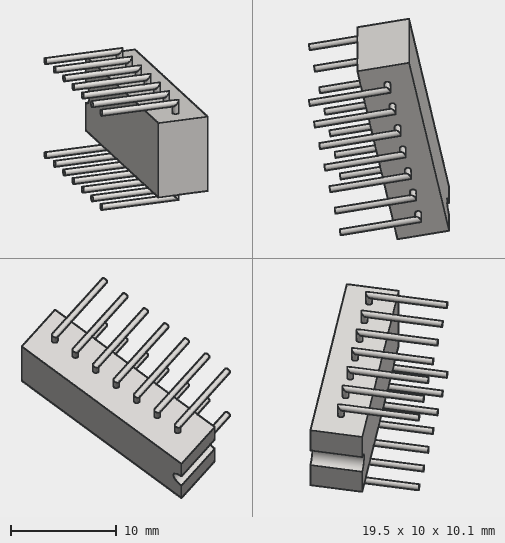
import cadquery as cq

body_length = 19.5
body_depth = 5.0
body_height = 7.5
notch_radius = 1.0

pin_diameter = 0.6
pins_per_row = 7
pin_row_span = 15.0
first_pin_inset = 2.5
overall_depth = 10.0
overall_height = 10.1

pin_pitch = pin_row_span / (pins_per_row - 1)
first_pin_x = -body_length / 2 + first_pin_inset
pin_axis_z = (overall_height - pin_diameter) / 2
pin_tip_y = body_depth / 2 - overall_depth
pin_root_z = body_height / 4


def make_body():
    """Block with a half-round index notch through its -X end."""
    block = cq.Workplane("XY").box(body_length, body_depth, body_height)
    notch = (
        cq.Workplane("XZ")
        .center(-body_length / 2, 0)
        .circle(notch_radius)
        .extrude(body_depth, both=True)
    )
    return block.cut(notch)


def make_pin(x, side):
    """Pin leaving the top (side=1) or bottom (side=-1), mitred toward -Y."""
    path = (
        cq.Workplane("YZ", origin=(x, 0, 0))
        .moveTo(0, side * pin_root_z)
        .lineTo(0, side * pin_axis_z)
        .lineTo(pin_tip_y, side * pin_axis_z)
    )
    return (
        cq.Workplane("XY", origin=(x, 0, side * pin_root_z))
        .circle(pin_diameter / 2)
        .sweep(path, transition="right")
    )


result = make_body()
for side in (-1, 1):
    for index in range(pins_per_row):
        result = result.union(make_pin(first_pin_x + index * pin_pitch, side))